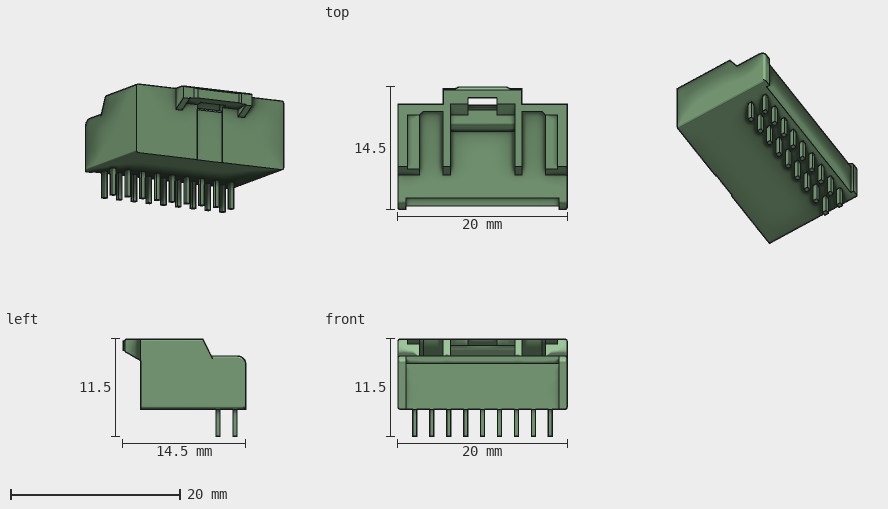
import cadquery as cq
import math


width = 20.0
depth = 12.45
height = 8.3
deck_z = 6.3
slope_foot_y = 4.1
slope_top_y = 5.1
corner_radius = 1.0
edge_radius = 0.3

ear_width = 0.95
panel_y = 0.4
ledge_back_y = 1.4
ledge_z = 5.4

bay_half = 3.8
rib_outer = 4.65
pocket_outer = 7.45
pocket_back_y = 11.6
pocket_chamfer = 0.45
shelf_outer = 8.85
shelf_z = 7.7

step_foot_y = 9.2
step_z = 7.55
step_tilt = 18.0
nose_radius = 0.8
ramp_foot_y = 11.2

lug_depth = 1.85
lug_tip = 0.2
lug_chamfer = 0.4
lug_chamfer_drop = 0.25
lug_foot_z = 5.75
lug_slope = 30.0
bar_tip_z = 6.95
bar_root_z = 6.65
tip_half = 2.8
tip_foot_half = 3.2

window_half = 1.7
window_front_y = 11.75
window_back_y = 13.2
window_lip_y = 12.1
window_wall_y = 12.35

pin_size = 0.5
pin_length = 3.2
pin_pitch = 2.0
pins_per_row = 9
front_row_y = 1.3
row_ys = (front_row_y, front_row_y + pin_pitch)

lug_back_y = depth + lug_depth
tip_y = lug_back_y + lug_tip

clearance = 1.0
above = height + clearance
before = -clearance
overlap = 0.5


def box(x0, x1, y0, y1, z0, z1):
    """Box given by its limits along each axis."""
    return cq.Workplane("XY").box(x1 - x0, y1 - y0, z1 - z0, centered=False).translate((x0, y0, z0))


def across(profile, half):
    """Extrude a YZ profile equally to both sides of X = 0."""
    return profile.close().extrude(half, both=True)


def mirrored(solid):
    """The solid together with its mirror image in X."""
    return solid.union(solid.mirror("YZ"))


def make_housing():
    """Stepped block, its side edges rounded except at the slope and the back."""
    profile = (
        cq.Workplane("YZ")
        .moveTo(0, 0)
        .lineTo(depth, 0)
        .lineTo(depth, height)
        .lineTo(slope_top_y, height)
        .lineTo(slope_foot_y, deck_z)
        .lineTo(corner_radius, deck_z)
        .radiusArc((0, deck_z - corner_radius), -corner_radius)
    )
    block = across(profile, width / 2)
    slope = cq.selectors.BoxSelector((-width, slope_foot_y, deck_z), (width, slope_top_y, height))
    back = cq.selectors.StringSyntaxSelector("|Z and >Y")
    all_but_slope = cq.selectors.InverseSelector(slope)
    rounded = cq.selectors.SubtractSelector(all_but_slope, back)
    return block.faces("<X or >X").edges(rounded).fillet(edge_radius)


def make_lug():
    """Bevelled latch bar with a narrower tip, carried by a sloped gusset at each end."""
    slope = math.tan(math.radians(lug_slope))
    profile = (
        cq.Workplane("YZ")
        .moveTo(depth - overlap, height)
        .lineTo(tip_y - lug_chamfer, height)
        .lineTo(tip_y, height - lug_chamfer_drop)
        .lineTo(tip_y, lug_foot_z + (tip_y - depth) * slope)
        .lineTo(depth, lug_foot_z)
        .lineTo(depth - overlap, lug_foot_z)
    )
    plan = (
        cq.Workplane("XY")
        .polyline([
            (-rib_outer, depth - overlap),
            (rib_outer, depth - overlap),
            (rib_outer, lug_back_y),
            (tip_foot_half, lug_back_y),
            (tip_half, tip_y),
            (-tip_half, tip_y),
            (-tip_foot_half, lug_back_y),
            (-rib_outer, lug_back_y),
        ])
        .close()
        .extrude(height)
    )
    between_gussets = (
        cq.Workplane("YZ")
        .moveTo(depth, 0)
        .lineTo(tip_y, 0)
        .lineTo(tip_y, bar_tip_z)
        .lineTo(depth, bar_root_z)
    )
    lug = across(profile, rib_outer).intersect(plan)
    return lug.cut(across(between_gussets, bay_half))


def front_panel_cut():
    """Space in front of the panel and above its ledge, between the ears."""
    half = width / 2 - ear_width
    panel = box(-half, half, before, panel_y, before, above)
    ledge = box(-half, half, before, ledge_back_y, ledge_z, above)
    return panel.union(ledge)


def side_pocket_cuts():
    """Pocket down to the deck and the shallow shelf beside it, on both sides."""
    pocket = (
        cq.Workplane("XY")
        .workplane(offset=deck_z)
        .polyline([
            (rib_outer, ledge_back_y),
            (pocket_outer, ledge_back_y),
            (pocket_outer, pocket_back_y - pocket_chamfer),
            (pocket_outer - pocket_chamfer, pocket_back_y),
            (rib_outer, pocket_back_y),
        ])
        .close()
        .extrude(above - deck_z)
    )
    shelf_back_y = pocket_back_y - pocket_chamfer
    shelf = box(pocket_outer, shelf_outer, ledge_back_y, shelf_back_y, shelf_z, above)
    return mirrored(pocket.union(shelf))


def centre_bay_cut():
    """Bay between the ribs, leaving the rounded step and the ramp behind it."""
    tilt = math.radians(step_tilt)
    nose_start_z = step_z - nose_radius * (1 - math.sin(tilt))
    nose_start_y = step_foot_y + (nose_start_z - deck_z) * math.tan(tilt)
    nose_end_y = nose_start_y + nose_radius * math.cos(tilt)
    profile = (
        cq.Workplane("YZ")
        .moveTo(ledge_back_y, deck_z)
        .lineTo(step_foot_y, deck_z)
        .lineTo(nose_start_y, nose_start_z)
        .radiusArc((nose_end_y, step_z), nose_radius)
        .lineTo(ramp_foot_y, step_z)
        .lineTo(depth, height)
        .lineTo(depth, above)
        .lineTo(ledge_back_y, above)
    )
    return across(profile, bay_half)


def window_cut():
    """Window through the lug, with a bevelled lip on the housing wall below it."""
    opening = box(-window_half, window_half, ramp_foot_y, window_back_y, step_z, above)
    lip_drop = window_wall_y - window_lip_y
    profile = (
        cq.Workplane("YZ")
        .moveTo(window_front_y, above)
        .lineTo(window_front_y, deck_z)
        .lineTo(window_lip_y, deck_z)
        .lineTo(window_wall_y, deck_z - lip_drop)
        .lineTo(window_wall_y, before)
        .lineTo(window_back_y, before)
        .lineTo(window_back_y, above)
    )
    return opening.union(across(profile, window_half))


def make_pins():
    """Two rows of square pins reaching from inside the housing to below it."""
    first_x = -pin_pitch * (pins_per_row - 1) / 2
    centres = [(first_x + i * pin_pitch, y) for y in row_ys for i in range(pins_per_row)]
    return (
        cq.Workplane("XY")
        .workplane(offset=-pin_length)
        .pushPoints(centres)
        .rect(pin_size, pin_size)
        .extrude(pin_length + overlap)
    )


result = make_housing().union(make_lug())
for cut in (front_panel_cut(), side_pocket_cuts(), centre_bay_cut(), window_cut()):
    result = result.cut(cut)
result = result.union(make_pins())